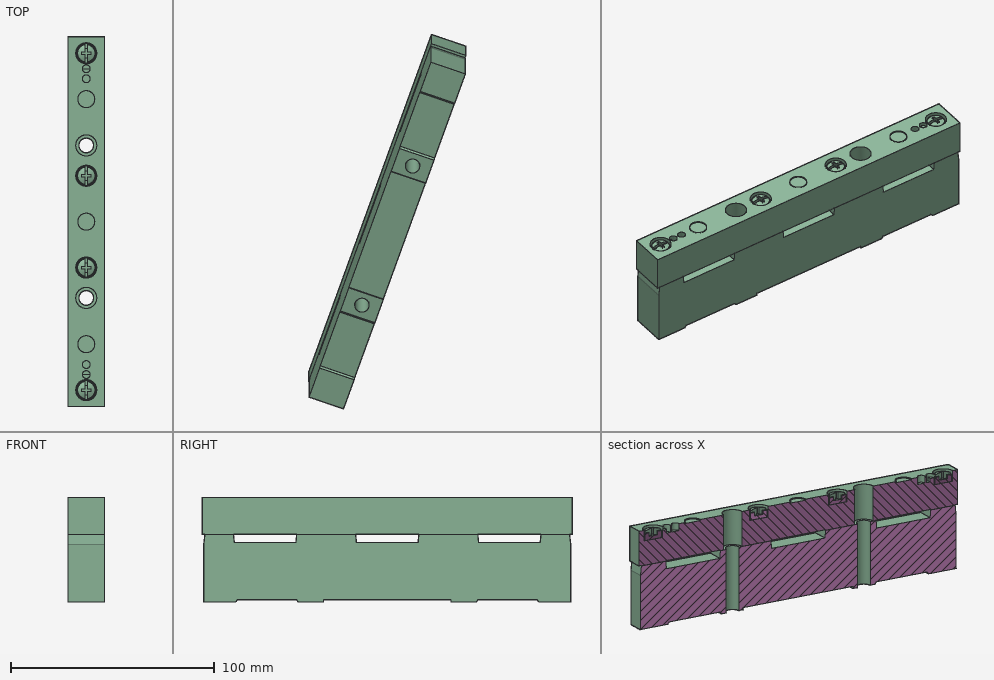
import cadquery as cq
import math

LENGTH = 181.6
WIDTH = 18.0
HEIGHT = 51.4
COVER_HEIGHT = 18.2
SEAM_Z = HEIGHT - COVER_HEIGHT

BASE_HALF_LENGTH = 90.0
NECK_TOP_HALF_LENGTH = 89.5
NECK_HEIGHT = 4.9
NECK_Z = SEAM_Z - NECK_HEIGHT

WINDOW_PITCH = 60.0
WINDOW_COUNT = 3
WINDOW_FLOOR_WIDTH = 30.1
WINDOW_TOP_WIDTH = 30.9
WINDOW_DEPTH = 4.0

FOOT_HEIGHT = 1.0
MIDDLE_RECESS_HALF_LENGTH = 31.2
END_RECESS_Y = 59.0
END_RECESS_TOP_LENGTH = 28.9
END_RECESS_BOTTOM_LENGTH = 30.7

MOUNTING_HOLE_Y = 37.5
COVER_BORE_DIAMETER = 10.4
BASE_BORE_DIAMETER = 7.0

INNER_SCREW_Y = 22.5
OUTER_SCREW_Y = 82.6
SCREW_POSITIONS = (-OUTER_SCREW_Y, -INNER_SCREW_Y, INNER_SCREW_Y, OUTER_SCREW_Y)
SCREW_SEAT_DIAMETER = 10.4
SCREW_DIAMETER = 9.6
SCREW_SEAT_DEPTH = 5.5
DOME_DIAMETER = 8.5
DOME_RISE = 0.9
SHOULDER_DROP = 1.0
SLOT_WIDTH = 1.3
SLOT_DEPTH = 1.8
CROSS_SPAN = 4.7
CROSS_DEPTH = 3.6

LABEL_PITCH = 60.1
LABEL_COUNT = 3
LABEL_DIAMETER = 8.4
LABEL_DEPTH = 0.5

PLAIN_HOLE_Y = 70.1
STEPPED_HOLE_Y = 75.0
SMALL_HOLE_DIAMETER = 3.8
SMALL_HOLE_DEPTH = 3.6
STEP_DEPTH = 1.8


def centred_rows(count, pitch):
    """Y positions of equally spaced features, symmetric about the middle."""
    return [(index - (count - 1) / 2) * pitch for index in range(count)]


def across_width(points):
    """Prism of a Y-Z outline over the full width in X."""
    return cq.Workplane("YZ").polyline(points).close().extrude(WIDTH / 2, both=True)


def trapezoid(center_y, low_z, low_length, high_z, high_length):
    """Prism across the width, symmetric about center_y, with sloping ends."""
    return across_width([
        (center_y - low_length / 2, low_z),
        (center_y + low_length / 2, low_z),
        (center_y + high_length / 2, high_z),
        (center_y - high_length / 2, high_z),
    ])


def upright_cylinder(y, diameter, low_z, high_z):
    """Vertical cylinder on the centre line in X."""
    return cq.Workplane("XY", origin=(0, y, low_z)).circle(diameter / 2).extrude(high_z - low_z)


def make_base():
    base = across_width([
        (-BASE_HALF_LENGTH, 0),
        (BASE_HALF_LENGTH, 0),
        (BASE_HALF_LENGTH, NECK_Z),
        (NECK_TOP_HALF_LENGTH, SEAM_Z),
        (-NECK_TOP_HALF_LENGTH, SEAM_Z),
        (-BASE_HALF_LENGTH, NECK_Z),
    ])
    for y in centred_rows(WINDOW_COUNT, WINDOW_PITCH):
        base = base.cut(trapezoid(y, SEAM_Z - WINDOW_DEPTH, WINDOW_FLOOR_WIDTH, SEAM_Z, WINDOW_TOP_WIDTH))
    middle_length = 2 * MIDDLE_RECESS_HALF_LENGTH
    base = base.cut(trapezoid(0, 0, middle_length, FOOT_HEIGHT, middle_length))
    for side in (-1, 1):
        base = base.cut(trapezoid(
            side * END_RECESS_Y, 0, END_RECESS_BOTTOM_LENGTH, FOOT_HEIGHT, END_RECESS_TOP_LENGTH
        ))
        base = base.cut(upright_cylinder(side * MOUNTING_HOLE_Y, BASE_BORE_DIAMETER, 0, SEAM_Z))
    return base


def stepped_hole(side):
    """Blind hole whose half nearer the end of the cover is shallower."""
    y = side * STEPPED_HOLE_Y
    hole = upright_cylinder(y, SMALL_HOLE_DIAMETER, HEIGHT - SMALL_HOLE_DEPTH, HEIGHT)
    ledge = cq.Workplane("XY").box(
        SMALL_HOLE_DIAMETER, SMALL_HOLE_DIAMETER, SMALL_HOLE_DEPTH - STEP_DEPTH, centered=(True, True, False)
    ).translate((0, y + side * SMALL_HOLE_DIAMETER / 2, HEIGHT - SMALL_HOLE_DEPTH))
    return hole.cut(ledge)


def make_cover():
    cover = cq.Workplane("XY", origin=(0, 0, SEAM_Z)).rect(WIDTH, LENGTH).extrude(COVER_HEIGHT)
    for y in SCREW_POSITIONS:
        cover = cover.cut(upright_cylinder(y, SCREW_SEAT_DIAMETER, HEIGHT - SCREW_SEAT_DEPTH, HEIGHT))
    for y in centred_rows(LABEL_COUNT, LABEL_PITCH):
        cover = cover.cut(upright_cylinder(y, LABEL_DIAMETER, HEIGHT - LABEL_DEPTH, HEIGHT))
    for side in (-1, 1):
        cover = cover.cut(upright_cylinder(side * MOUNTING_HOLE_Y, COVER_BORE_DIAMETER, SEAM_Z, HEIGHT))
        cover = cover.cut(upright_cylinder(
            side * PLAIN_HOLE_Y, SMALL_HOLE_DIAMETER, HEIGHT - SMALL_HOLE_DEPTH, HEIGHT
        ))
        cover = cover.cut(stepped_hole(side))
    return cover


def make_screw(y):
    """Domed screw standing flush in its seat, modelled on the Z axis and then moved to y."""
    dome_edge_z = HEIGHT - DOME_RISE
    shoulder_z = dome_edge_z - SHOULDER_DROP
    dome_radius = DOME_DIAMETER / 2
    sphere_radius = (dome_radius ** 2 + DOME_RISE ** 2) / (2 * DOME_RISE)
    half_angle = math.asin(dome_radius / sphere_radius) / 2
    dome_middle = (
        sphere_radius * math.sin(half_angle),
        HEIGHT - sphere_radius * (1 - math.cos(half_angle)),
    )
    head = (
        cq.Workplane("XZ")
        .moveTo(0, HEIGHT - SCREW_SEAT_DEPTH)
        .lineTo(SCREW_DIAMETER / 2, HEIGHT - SCREW_SEAT_DEPTH)
        .lineTo(SCREW_DIAMETER / 2, shoulder_z)
        .lineTo(dome_radius, dome_edge_z)
        .threePointArc(dome_middle, (0, HEIGHT))
        .close()
        .revolve(360, (0, 0, 0), (0, 1, 0))
    )
    top_plane = cq.Workplane("XY", origin=(0, 0, HEIGHT))
    slot = top_plane.rect(SLOT_WIDTH, SCREW_DIAMETER).extrude(-SLOT_DEPTH)
    cross = top_plane.rect(SLOT_WIDTH, CROSS_SPAN).extrude(-CROSS_DEPTH)
    cross = cross.union(top_plane.rect(CROSS_SPAN, SLOT_WIDTH).extrude(-CROSS_DEPTH))
    return head.cut(slot).cut(cross).translate((0, y, 0))


base = make_base()
cover = make_cover()
screws = [make_screw(y) for y in SCREW_POSITIONS]

result = cq.Compound.makeCompound([base.val(), cover.val(), *[screw.val() for screw in screws]])